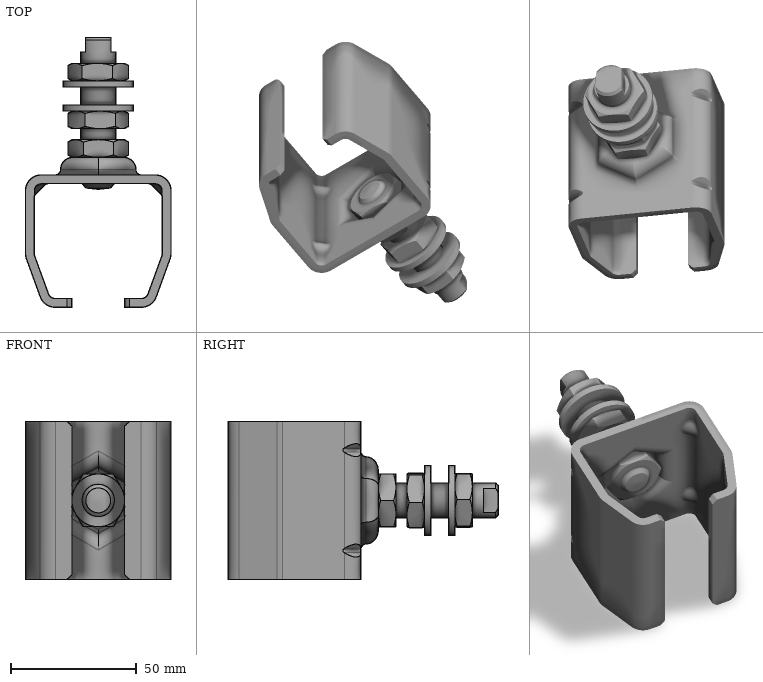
import cadquery as cq
import math

TOTAL_LENGTH = 107.5

SHEET = 3.5
RAIL_WIDTH = 58.0
RAIL_LENGTH = 63.0
RAIL_DEPTH = 52.8
TAPER_START = 20.4
TAPER_ANGLE = 20.0
BEND_RADIUS = 6.5
LIP_GAP = 21.1
LIP_CHAMFER = 1.9
INNER_FACE = RAIL_DEPTH - SHEET

BOSS_HALF_FLATS = 15.0
BOSS_HEIGHT = 7.0
BOSS_FOOT_RADIUS = 2.0
BOSS_TOP_RADIUS = BOSS_HEIGHT - BOSS_FOOT_RADIUS
BOSS_HOLE = 14.2
BOSS_TOP = RAIL_DEPTH + BOSS_HEIGHT
BOSS_FLOOR = BOSS_TOP - SHEET

BEAD_OFFSET_Z = 20.0
GROOVE_BOTTOM = 5.0
GROOVE_RADIUS = 1.0
GROOVE_SIDE_ANGLE = 42.0
BEAD_RADIUS = 4.2
BEAD_CREST = 8.4
BEAD_FILLET = 1.4

STUD_DIAMETER = 14.0
STUD_END_CHAMFER = 1.1
STUD_FLATS = 10.2
STUD_FLATS_LENGTH = 5.8
TIP_CONE_RADIUS = 4.9
TIP_CHAMFER_LENGTH = 2.4
TIP_CONE_START = 47.5
TIP_END = 47.0

NUT_FLATS = 21.0
NUT_HEIGHT = 7.0
NUT_FACE_DIAMETER = 21.0
NUT_CHAMFER_ANGLE = 30.0
WASHER_DIAMETER = 28.0
WASHER_HOLE = 15.0
WASHER_THICKNESS = 2.5
NEAR_WASHER_START = 78.2
FAR_WASHER_START = 87.7

OUTER_NUTS = [
    (BOSS_TOP, 0.5),
    (NEAR_WASHER_START - NUT_HEIGHT, 4.2),
    (FAR_WASHER_START + WASHER_THICKNESS, -2.1),
]


def cylinder(diameter, start, length):
    """Cylinder along Y from the given start."""
    return cq.Workplane("XZ", origin=(0, start, 0)).circle(diameter / 2).extrude(-length)


def rail_envelope():
    """Solid filling the whole rail outline, with rounded bends."""
    foot_half_width = RAIL_WIDTH / 2 - TAPER_START * math.tan(math.radians(TAPER_ANGLE))
    half_outline = [
        (RAIL_WIDTH / 2, RAIL_DEPTH),
        (RAIL_WIDTH / 2, TAPER_START),
        (foot_half_width, 0),
    ]
    other_half = [(-x, y) for x, y in reversed(half_outline)]
    return (
        cq.Workplane("XY", origin=(0, 0, -RAIL_LENGTH / 2))
        .polyline(half_outline + other_half)
        .close()
        .extrude(RAIL_LENGTH)
        .edges("|Z")
        .fillet(BEND_RADIUS)
    )


def rail_interior(envelope):
    """Space inside the rail, one sheet thickness inside its envelope."""
    outline = envelope.faces("<Z").wires().val().offset2D(-SHEET)[0]
    return cq.Workplane(cq.Solid.extrudeLinear(outline, [], cq.Vector(0, 0, RAIL_LENGTH)))


def lip_opening():
    """Gap between the lips, widened by a chamfer at both rail ends."""
    half_gap = LIP_GAP / 2
    half_length = RAIL_LENGTH / 2
    half_outline = [
        (half_gap + LIP_CHAMFER, half_length),
        (half_gap, half_length - LIP_CHAMFER),
        (half_gap, -half_length + LIP_CHAMFER),
        (half_gap + LIP_CHAMFER, -half_length),
    ]
    other_half = [(-x, z) for x, z in reversed(half_outline)]
    return cq.Workplane("XZ").polyline(half_outline + other_half).close().extrude(-2 * SHEET)


def pressed_hexagon(half_flats, base, foot_radius, top_radius):
    """Hexagonal dome on the base plane, with a flared foot and a rounded top edge."""
    foot_half = half_flats + foot_radius
    waist = base + foot_radius
    top = waist + top_radius
    diagonal = math.sqrt(0.5)
    foot_middle = (foot_half - foot_radius * diagonal, waist - foot_radius * diagonal)
    top_half = half_flats - top_radius
    top_middle = (top_half + top_radius * diagonal, waist + top_radius * diagonal)
    slab_length = 4 * foot_half
    slab = (
        cq.Workplane("XY", origin=(0, 0, -slab_length / 2))
        .moveTo(foot_half, base)
        .threePointArc(foot_middle, (half_flats, waist))
        .threePointArc(top_middle, (top_half, top))
        .lineTo(-top_half, top)
        .threePointArc((-top_middle[0], top_middle[1]), (-half_flats, waist))
        .threePointArc((-foot_middle[0], foot_middle[1]), (-foot_half, base))
        .close()
        .extrude(slab_length)
    )
    dome = slab
    for angle in (60, 120):
        dome = dome.intersect(slab.rotate((0, 0, 0), (0, 1, 0), angle))
    return dome


def boss():
    return pressed_hexagon(BOSS_HALF_FLATS, RAIL_DEPTH, BOSS_FOOT_RADIUS, BOSS_TOP_RADIUS)


def boss_cavity():
    """Hollow of the boss, one sheet thickness inside it."""
    return pressed_hexagon(
        BOSS_HALF_FLATS - SHEET, INNER_FACE, BOSS_FOOT_RADIUS + SHEET, BOSS_TOP_RADIUS - SHEET
    )


def bend_section(z):
    """Workplane across the +X back bend: from the sharp outer corner, local Y points into the rail."""
    plane = cq.Plane(origin=(RAIL_WIDTH / 2, RAIL_DEPTH, z), xDir=(0, 0, 1), normal=(1, -1, 0))
    return cq.Workplane(plane)


def bead_bar(z):
    """Half-round bar across the bend, its ends buried in the sheet and its crest inside the rail."""
    return (
        bend_section(z)
        .moveTo(-BEAD_RADIUS, BEAD_CREST - BEAD_RADIUS)
        .threePointArc((0, BEAD_CREST), (BEAD_RADIUS, BEAD_CREST - BEAD_RADIUS))
        .close()
        .extrude(SHEET, both=True)
    )


def bead_groove(z):
    """V groove with a round bottom across the outside of the bend."""
    side_angle = math.radians(GROOVE_SIDE_ANGLE)
    tangent_z = GROOVE_RADIUS * math.cos(side_angle)
    tangent_depth = GROOVE_BOTTOM - GROOVE_RADIUS * (1 - math.sin(side_angle))
    mouth_z = tangent_z + tangent_depth * math.tan(side_angle)
    return (
        bend_section(z)
        .moveTo(-mouth_z, 0)
        .lineTo(-tangent_z, tangent_depth)
        .threePointArc((0, GROOVE_BOTTOM), (tangent_z, tangent_depth))
        .lineTo(mouth_z, 0)
        .close()
        .extrude(2 * BEAD_CREST, both=True)
    )


def round_bead_seams(rail):
    """Fillets where the bead crests meet the inside of the rail."""
    seam_x = RAIL_WIDTH / 2 - SHEET
    reach = BEAD_CREST - SHEET
    for side in (-1, 1):
        for z in (-BEAD_OFFSET_Z, BEAD_OFFSET_Z):
            inner_corner = (side * (seam_x + SHEET / 2), INNER_FACE + SHEET / 2, z + BEAD_RADIUS)
            far_corner = (side * (seam_x - reach), INNER_FACE - reach, z - BEAD_RADIUS)
            seam = cq.selectors.BoxSelector(inner_corner, far_corner)
            rail = rail.edges(seam).fillet(BEAD_FILLET)
    return rail


def bracket_body():
    envelope = rail_envelope()
    rail = envelope.cut(rail_interior(envelope))
    for z in (-BEAD_OFFSET_Z, BEAD_OFFSET_Z):
        bar = bead_bar(z)
        rail = rail.union(bar).union(bar.mirror("YZ"))
    rail = round_bead_seams(rail)
    for z in (-BEAD_OFFSET_Z, BEAD_OFFSET_Z):
        groove = bead_groove(z)
        rail = rail.cut(groove).cut(groove.mirror("YZ"))
    return (
        rail.union(boss())
        .cut(boss_cavity())
        .cut(cylinder(BOSS_HOLE, INNER_FACE, 2 * BOSS_HEIGHT))
        .cut(lip_opening())
    )


def stud_body():
    """Plain stud with two spanner flats at its outer end and a pointed inner tip."""
    radius = STUD_DIAMETER / 2
    end_radius = radius - STUD_END_CHAMFER
    shaft = (
        cq.Workplane("XY")
        .polyline([
            (0, TIP_END),
            (TIP_CONE_RADIUS, TIP_CONE_START),
            (radius, TIP_CONE_START + TIP_CHAMFER_LENGTH),
            (radius, TOTAL_LENGTH - STUD_END_CHAMFER),
            (end_radius, TOTAL_LENGTH),
            (0, TOTAL_LENGTH),
        ])
        .close()
        .revolve(360, (0, 0, 0), (0, 1, 0))
    )
    flats_middle = TOTAL_LENGTH - STUD_FLATS_LENGTH / 2
    for side in (-1, 1):
        offcut = cq.Workplane("XY").box(radius, STUD_FLATS_LENGTH, STUD_DIAMETER)
        shaft = shaft.cut(offcut.translate((side * (STUD_FLATS + radius) / 2, flats_middle, 0)))
    return shaft


def nut_blank(start, turn):
    """Solid hexagon with both faces chamfered, two corners along X before it is turned."""
    hexagon = (
        cq.Workplane("XZ")
        .polygon(6, NUT_FLATS / math.cos(math.radians(30)))
        .extrude(-NUT_HEIGHT)
    )
    face_radius = NUT_FACE_DIAMETER / 2
    rim_radius = NUT_FLATS
    rim_height = (rim_radius - face_radius) * math.tan(math.radians(NUT_CHAMFER_ANGLE))
    chamfer_envelope = (
        cq.Workplane("XY")
        .polyline([
            (0, 0),
            (face_radius, 0),
            (rim_radius, rim_height),
            (rim_radius, NUT_HEIGHT - rim_height),
            (face_radius, NUT_HEIGHT),
            (0, NUT_HEIGHT),
        ])
        .close()
        .revolve(360, (0, 0, 0), (0, 1, 0))
    )
    blank = hexagon.intersect(chamfer_envelope)
    return blank.rotate((0, 0, 0), (0, 1, 0), turn).translate((0, start, 0))


def outer_nut(start, turn):
    return nut_blank(start, turn).cut(cylinder(STUD_DIAMETER, start, NUT_HEIGHT))


def washer(start):
    disc = cylinder(WASHER_DIAMETER, start, WASHER_THICKNESS)
    return disc.cut(cylinder(WASHER_HOLE, start, WASHER_THICKNESS))


stud = stud_body()

inner_nut_blank = nut_blank(BOSS_FLOOR - NUT_HEIGHT, 0)
inner_nut = inner_nut_blank.cut(stud)
bracket = bracket_body().cut(inner_nut_blank)

outer_nuts = [outer_nut(start, turn) for start, turn in OUTER_NUTS]
washers = [washer(start) for start in (NEAR_WASHER_START, FAR_WASHER_START)]

result = cq.Compound.makeCompound([
    bracket.val(),
    stud.val(),
    inner_nut.val(),
    *[nut.val() for nut in outer_nuts],
    *[ring.val() for ring in washers],
])